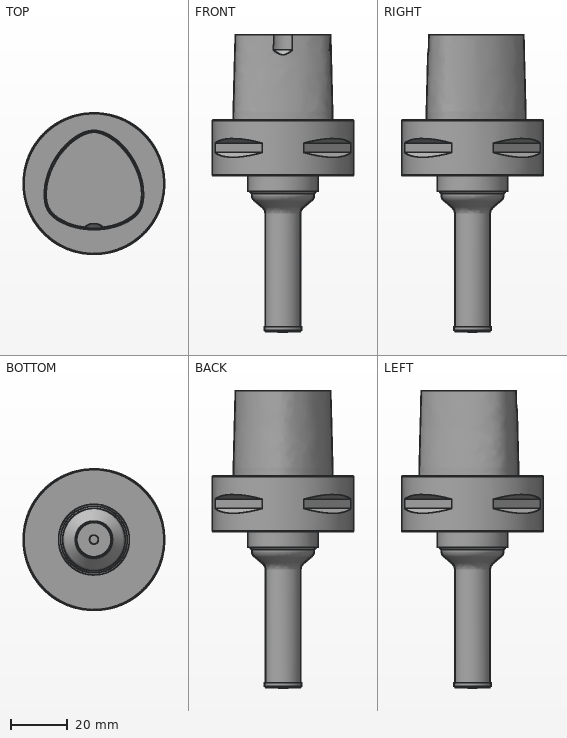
import cadquery as cq
import math

total_height = 105.0
cutter_top = 2.0
cone_bottom = 43.3
cone_top = 47.2
relief_bottom = 48.9
collar_bottom = 49.8
flange_bottom = 55.2
flange_top = 75.0
taper_start = 78.0

stem_diameter = 12.5
neck_diameter = 22.0
collar_diameter = 25.0
flange_diameter = 50.0
relief_top_radius = 11.8
flange_chamfer = 0.3
neck_fillet = 2.1
stem_fillet = 2.6
corner_search = 0.1

shank_radius = 17.5
lobe_height = 1.3
taper_ratio = 1 / 40
outline_points = 72

notch_radius = 4.6
notch_axis_y = -18.7
notch_shoulder = 99.6
notch_tip = notch_shoulder - notch_radius

groove_count = 4
groove_floor_distance = 22.0
groove_floor_height = 3.3
groove_flank_angle = 30.0
groove_overrun = 1.0
groove_z = (flange_bottom + flange_top) / 2

cutter_diameter = 13.1
cutter_chamfer = 0.5
tip_diameter = 3.2
tip_height = 0.3


def make_stem():
    """Turned stem that flares through the neck into the collar."""
    stem_radius = stem_diameter / 2
    neck_radius = neck_diameter / 2
    collar_radius = collar_diameter / 2
    profile = [
        (0, cutter_top),
        (stem_radius, cutter_top),
        (stem_radius, cone_bottom),
        (neck_radius, cone_top),
        (neck_radius, relief_bottom),
        (relief_top_radius, collar_bottom),
        (collar_radius, collar_bottom),
        (collar_radius, flange_bottom),
        (0, flange_bottom),
    ]
    stem = cq.Workplane("XZ").polyline(profile).close().revolve(360, (0, 0), (0, 1))
    for height, fillet in ((cone_top, neck_fillet), (cone_bottom, stem_fillet)):
        corner = cq.selectors.BoxSelector(
            (-collar_radius, -collar_radius, height - corner_search),
            (collar_radius, collar_radius, height + corner_search),
            boundingbox=True,
        )
        stem = stem.edges(corner).fillet(fillet)
    return stem


def make_groove():
    """Cutter for one gripper groove, with a flat floor facing +X and sloping flanks."""
    outer_distance = flange_diameter / 2 + groove_overrun
    half_floor = groove_floor_height / 2
    spread = (outer_distance - groove_floor_distance) * math.tan(math.radians(groove_flank_angle))
    half_mouth = half_floor + spread
    section = [
        (groove_floor_distance, groove_z - half_floor),
        (outer_distance, groove_z - half_mouth),
        (outer_distance, groove_z + half_mouth),
        (groove_floor_distance, groove_z + half_floor),
    ]
    return cq.Workplane("XZ").polyline(section).close().extrude(flange_diameter / 2, both=True)


def make_flange():
    """Chamfered flange with gripper grooves between the X and Y axes."""
    flange = (
        cq.Workplane("XY", origin=(0, 0, flange_bottom))
        .circle(flange_diameter / 2)
        .extrude(flange_top - flange_bottom)
        .edges()
        .chamfer(flange_chamfer)
    )
    groove = make_groove()
    spacing = 360 / groove_count
    for index in range(groove_count):
        angle = spacing * (index + 0.5)
        flange = flange.cut(groove.rotate((0, 0, 0), (0, 0, 1), angle))
    return flange


def lobed_point(angle, radius):
    """Point of a constant-width three-lobed curve whose tangent faces the given angle."""
    support = radius - lobe_height * math.sin(3 * angle)
    slope = -3 * lobe_height * math.cos(3 * angle)
    x = support * math.cos(angle) - slope * math.sin(angle)
    y = support * math.sin(angle) + slope * math.cos(angle)
    return (x, y)


def lobed_wire(radius, height):
    """Closed lobed outline, with one lobe pointing along +Y."""
    step = 2 * math.pi / outline_points
    points = [cq.Vector(*lobed_point(index * step, radius), height) for index in range(outline_points)]
    return cq.Wire.assembleEdges([cq.Edge.makeSpline(points, periodic=True)])


def make_notch():
    """Drilled hole with a conical bottom, breaking out through the -Y side of the shank."""
    profile = [
        (0, notch_tip),
        (notch_radius, notch_shoulder),
        (notch_radius, total_height),
        (0, total_height),
    ]
    notch = cq.Workplane("XZ").polyline(profile).close().revolve(360, (0, 0), (0, 1))
    return notch.translate((0, notch_axis_y, 0))


def make_shank():
    """Lobed shank: a short straight foot below a tapered length, notched at the top."""
    top_radius = shank_radius - (total_height - taper_start) * taper_ratio
    foot_outline = lobed_wire(shank_radius, flange_top)
    foot = cq.Solid.extrudeLinear(foot_outline, [], cq.Vector(0, 0, taper_start - flange_top))
    taper = cq.Solid.makeLoft(
        [lobed_wire(shank_radius, taper_start), lobed_wire(top_radius, total_height)], True
    )
    return cq.Workplane(foot).union(cq.Workplane(taper)).cut(make_notch())


def make_holder():
    """Tool holder: stem, flange and shank in one piece."""
    return make_stem().union(make_flange()).union(make_shank())


def make_cutter():
    """Cutting disc on the end of the stem, with a small tip below it."""
    disc = (
        cq.Workplane("XY", origin=(0, 0, tip_height))
        .circle(cutter_diameter / 2)
        .extrude(cutter_top - tip_height)
        .faces("<Z")
        .edges()
        .chamfer(cutter_chamfer)
    )
    tip = cq.Workplane("XY").circle(tip_diameter / 2).extrude(tip_height)
    return disc.union(tip)


holder = make_holder()
cutter = make_cutter()

result = cq.Compound.makeCompound([holder.solids().val(), cutter.solids().val()])